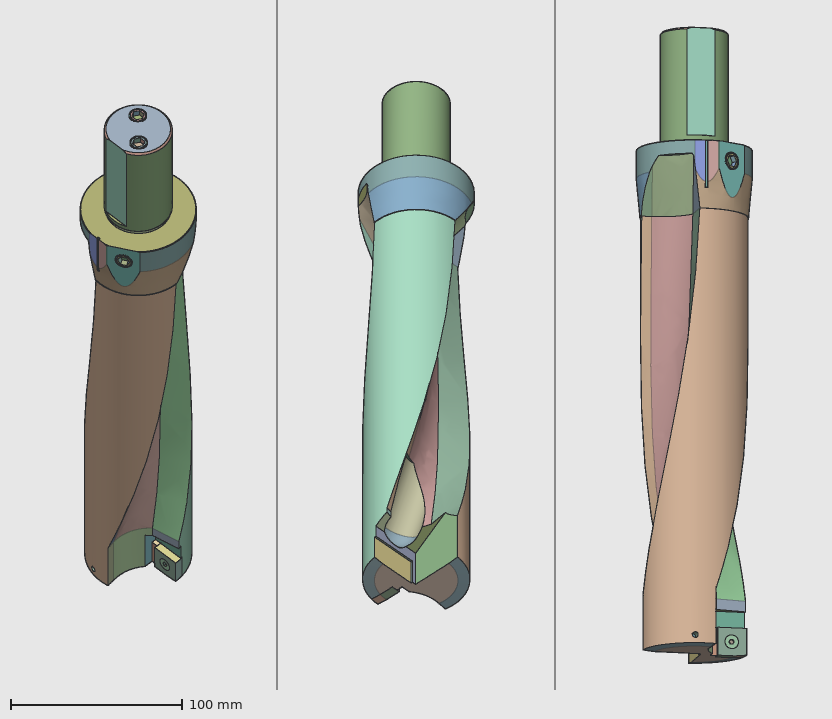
import cadquery as cq
import math

total_height = 369.0
body_radius = 31.5
cone_small_radius = 31.7
flange_radius = 34.0
shank_radius = 20.0

cone_bottom_z = 259.0
cone_top_z = 282.3
flange_top_z = 299.3
shank_bottom_z = 301.0

neck_radius = 19.2
shank_chamfer = 1.0
flange_edge_chamfer = 0.5
tip_chamfer_width = 7.0
tip_chamfer_height = 0.7

shank_flat_distance = 18.0
shank_flat_bottom_z = 304.8
index_flat_distance = flange_radius - 0.7
plug_flat_distance = 32.5
plug_flat_angle = 30.0
index_groove_width = 1.5
index_groove_depth = 1.0
index_groove_bottom_z = 271.2

flute_count = 2
flute_wall_offset = 3.7
flute_root_radius = 25.0
flute_root_start_y = -12.5
flute_reach = 51.5
flute_twist = 79.0
flute_twist_bottom_z = 33.2
flute_section_count = 9
twist_linear_share = 0.2
shallow_exit = cq.Vector(-0.8, -1.0, 0.9) * 33.2
steep_exit = cq.Vector(-0.2, -1.0, 1.5) * 21.5

chip_pocket_wall_x = 2.5
chip_pocket_wall_y = -2.2
chip_pocket_height = 24.0
chip_pocket_outer_height = 50.0
inner_seat_depth = 1.0
inner_seat_height = 16.2
inner_seat_y = 0.5
ball_end_radius = 11.8
ball_end_center = (-2.0, 15.0, 30.3)
ball_end_run = cq.Vector(-0.5, 0, 1)
ball_end_run_length = 44.3

insert_size = 16.5
insert_thickness = 6.0
insert_overrun = 3.7
insert_left_x = 14.0
insert_front_y = -0.5
insert_center_x = insert_left_x + insert_size / 2
insert_center_z = insert_size / 2
relief_height = 10.5
seat_left_x = 10.0
seat_back_y = 1.5
relief_back_y = 4.5

screw_head_radius = 4.0
screw_shaft_radius = 2.2
screw_head_height = 2.2
screw_length = 13.0
screw_socket_radius = 1.5
screw_socket_depth = 1.5

plug_radius = 5.0
plug_length = 9.0
plug_chamfer = 0.7
socket_corner_diameter = 7.5
socket_depth = 3.7
flange_plug_z = 288.5
shank_plug_x = 7.7
shank_plug_y = 7.5

tip_hole_radius = 1.65
tip_hole_depth = 7.5
tip_hole_x = -6.3
tip_hole_z = 5.5


def flute_wire(twist, z):
    """Flute section at height z, turned clockwise (seen from above) by twist degrees."""
    wall_x = -flute_wall_offset
    start_rise = math.asin(1 + flute_root_start_y / flute_root_radius)
    mid_angle = (start_rise + math.pi / 2) / 2
    center_x = wall_x - flute_root_radius * math.cos(start_rise)
    arc_mid = (
        center_x + flute_root_radius * math.cos(mid_angle),
        flute_root_radius * (math.sin(mid_angle) - 1),
    )
    section = (
        cq.Workplane("XY")
        .moveTo(wall_x, -flute_reach)
        .lineTo(wall_x, flute_root_start_y)
        .threePointArc(arc_mid, (center_x, 0))
        .lineTo(-flute_reach, 0)
        .lineTo(-flute_reach, -flute_reach)
        .close()
    )
    wire = section.val().rotate(cq.Vector(), cq.Vector(0, 0, 1), -twist)
    return wire.translate(cq.Vector(0, 0, z))


def flute_cutter():
    """Twisted flute with a straight foot and two slanted exits through the flange cone."""
    sections = []
    for i in range(flute_section_count):
        drop = i / (flute_section_count - 1)
        twist = flute_twist * (twist_linear_share * drop + (1 - twist_linear_share) * drop**2)
        z = cone_bottom_z - drop * (cone_bottom_z - flute_twist_bottom_z)
        sections.append(flute_wire(twist, z))
    twisted = cq.Solid.makeLoft(sections)
    foot = cq.Solid.extrudeLinear(sections[-1], [], cq.Vector(0, 0, -flute_twist_bottom_z))
    exits = [cq.Solid.extrudeLinear(sections[0], [], run) for run in (shallow_exit, steep_exit)]
    return [twisted, foot, *exits]


def box(x_min, x_max, y_min, y_max, z_min, z_max):
    size = (x_max - x_min, y_max - y_min, z_max - z_min)
    return cq.Workplane("XY").box(*size, centered=False).translate((x_min, y_min, z_min))


def place_on_plug_flat(shape):
    """Move a shape built below a face at z = 0 onto the flange's plug flat."""
    upright = shape.rotate((0, 0, 0), (1, 0, 0), 90)
    at_front = upright.translate((0, -plug_flat_distance, flange_plug_z))
    return at_front.rotate((0, 0, 0), (0, 0, 1), plug_flat_angle)


def place_on_shank_end(shape, side):
    return shape.translate((side * shank_plug_x, -side * shank_plug_y, total_height))


def plug_blank():
    return cq.Workplane("XY").circle(plug_radius).extrude(-plug_length)


def make_plug():
    socket = cq.Workplane("XY").polygon(6, socket_corner_diameter).extrude(-socket_depth)
    return plug_blank().faces(">Z").chamfer(plug_chamfer).cut(socket)


def screw_blank():
    """Countersunk screw shape with its axis along +Y from the insert's front face."""
    outline = [
        (0, 0),
        (screw_head_radius, 0),
        (screw_shaft_radius, screw_head_height),
        (screw_shaft_radius, screw_length),
        (0, screw_length),
    ]
    blank = cq.Workplane("XY").polyline(outline).close().revolve(360, (0, 0, 0), (0, 1, 0))
    return blank.translate((insert_center_x, insert_front_y, insert_center_z))


def make_screw():
    socket = (
        cq.Workplane("XZ", origin=(insert_center_x, insert_front_y, insert_center_z))
        .polygon(6, 2 * screw_socket_radius)
        .extrude(-screw_socket_depth)
    )
    return screw_blank().cut(socket)


def tip_envelope():
    """Round bar with the shallow bevel of the drill tip."""
    flat_radius = body_radius - tip_chamfer_width
    outline = [
        (0, 0),
        (flat_radius, 0),
        (body_radius, tip_chamfer_height),
        (body_radius, cone_bottom_z),
        (0, cone_bottom_z),
    ]
    return cq.Workplane("XZ").polyline(outline).close().revolve(360, (0, 0, 0), (0, 1, 0))


def insert_blank():
    """Square insert block, trimmed to the drill's outer envelope."""
    block = box(
        insert_left_x,
        insert_left_x + insert_size + insert_overrun,
        insert_front_y,
        insert_front_y + insert_thickness,
        0,
        insert_size,
    )
    return block.intersect(tip_envelope())


def make_insert():
    return insert_blank().cut(screw_blank())


def make_head():
    """Flange with its cone, neck and shank, above the fluted length."""
    outline = [
        (0, cone_bottom_z),
        (cone_small_radius, cone_bottom_z),
        (flange_radius, cone_top_z),
        (flange_radius, flange_top_z - flange_edge_chamfer),
        (flange_radius - flange_edge_chamfer, flange_top_z),
        (neck_radius, flange_top_z),
        (neck_radius, shank_bottom_z),
        (shank_radius, shank_bottom_z + shank_radius - neck_radius),
        (shank_radius, total_height - shank_chamfer),
        (shank_radius - shank_chamfer, total_height),
        (0, total_height),
    ]
    head = cq.Workplane("XZ").polyline(outline).close().revolve(360, (0, 0, 0), (0, 1, 0))
    r = flange_radius
    shank_flat = box(-r, r, -r, -shank_flat_distance, shank_flat_bottom_z, total_height)
    index_flat = box(-r, r, -2 * r, -index_flat_distance, cone_bottom_z, flange_top_z)
    plug_flat = box(-r, r, -2 * r, -plug_flat_distance, cone_bottom_z, flange_top_z)
    index_groove = box(
        -index_groove_width / 2,
        index_groove_width / 2,
        -r,
        -index_flat_distance + index_groove_depth,
        index_groove_bottom_z,
        flange_top_z,
    )
    head = head.cut(shank_flat).cut(index_flat).cut(index_groove)
    return head.cut(plug_flat.rotate((0, 0, 0), (0, 0, 1), plug_flat_angle))


def chip_pocket():
    """Pocket with a flat wall facing -X and a top that climbs outward."""
    outline = [
        (chip_pocket_wall_x, 0),
        (chip_pocket_wall_x, chip_pocket_height),
        (-flange_radius, chip_pocket_outer_height),
        (-flange_radius, 0),
    ]
    section = cq.Workplane("XZ", origin=(0, chip_pocket_wall_y, 0)).polyline(outline).close()
    return section.extrude(-2 * flange_radius)


def make_body():
    body = tip_envelope().union(make_head())
    r = flange_radius

    for i in range(flute_count):
        for piece in flute_cutter():
            turned = piece.rotate(cq.Vector(), cq.Vector(0, 0, 1), i * 360 / flute_count)
            body = body.cut(cq.Workplane(turned))

    body = body.cut(chip_pocket())
    seat_x = chip_pocket_wall_x + inner_seat_depth
    body = body.cut(box(-r, seat_x, inner_seat_y, r, 0, inner_seat_height))
    body = body.cut(cq.Workplane("XY").sphere(ball_end_radius).translate(ball_end_center))
    groove = cq.Solid.makeCylinder(
        ball_end_radius, ball_end_run_length, cq.Vector(*ball_end_center), ball_end_run
    )
    body = body.cut(cq.Workplane(groove))

    relief_top = insert_size + relief_height
    seat = box(seat_left_x, r, -insert_thickness, seat_back_y, 0, relief_top)
    relief = box(seat_left_x, r, -insert_thickness, relief_back_y, insert_size, relief_top)
    body = body.cut(seat)
    body = body.cut(relief).cut(insert_blank()).cut(screw_blank())

    tip_hole = (
        cq.Workplane("XZ", origin=(tip_hole_x, -body_radius + tip_hole_depth, tip_hole_z))
        .circle(tip_hole_radius)
        .extrude(tip_hole_depth)
    )
    body = body.cut(tip_hole)

    body = body.cut(place_on_plug_flat(plug_blank()))
    for side in (-1, 1):
        body = body.cut(place_on_shank_end(plug_blank(), side))
    return body


body = make_body()
insert = make_insert()
screw = make_screw()
plugs = [place_on_plug_flat(make_plug())]
for side in (-1, 1):
    plugs.append(place_on_shank_end(make_plug(), side))

result = cq.Compound.makeCompound(
    [body.val(), insert.val(), screw.val(), *[plug.val() for plug in plugs]]
)